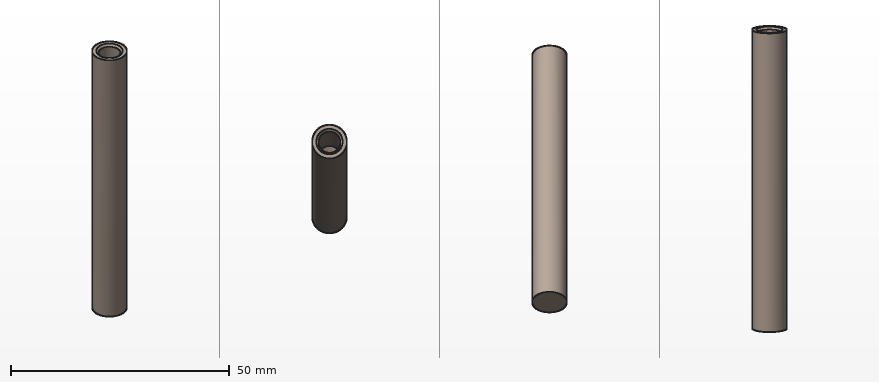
import cadquery as cq
import math

length = 70.0
outer_diameter = 8.0

bore_diameter = 5.0
bore_depth = 14.0
drill_point_angle = 118.0

mouth_diameter = 6.0

outer_radius = outer_diameter / 2
bore_radius = bore_diameter / 2
mouth_radius = mouth_diameter / 2
mouth_depth = mouth_radius - bore_radius
cone_height = bore_radius / math.tan(math.radians(drill_point_angle / 2))


def make_rod():
    return cq.Workplane("XY").circle(outer_radius).extrude(length)


def make_bore():
    """Return the bore solid: half-section of the countersunk, drilled hole, revolved about Z."""
    bore_floor = length - bore_depth
    return (
        cq.Workplane("XZ")
        .moveTo(0, length)
        .lineTo(mouth_radius, length)
        .lineTo(bore_radius, length - mouth_depth)
        .lineTo(bore_radius, bore_floor)
        .lineTo(0, bore_floor - cone_height)
        .close()
        .revolve(360, (0, 0, 0), (0, 1, 0))
    )


result = make_rod().cut(make_bore())